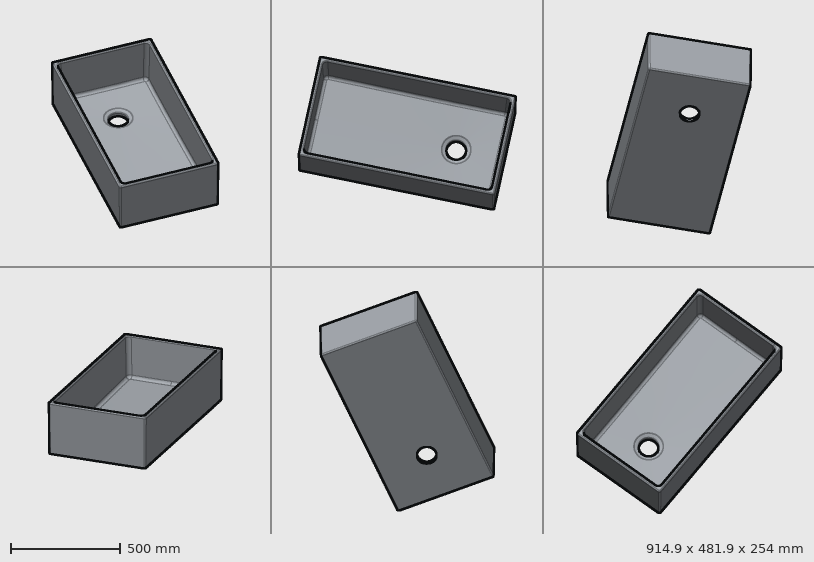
import cadquery as cq
import math

LENGTH = 915.0
WIDTH = 482.0
HEIGHT = 254.0
OUTER_DRAFT = 0.5
OUTER_CORNER_RADIUS = 8.0
OUTER_EDGE_RADIUS = 6.0

BASIN_DRAFT = 2.0
RIM_WIDTH = 13.0
RIM_RADIUS = 6.0
BASIN_CORNER_RADIUS = 20.0
FLOOR_EDGE_RADIUS = 16.0

DRAIN_X = -229.0
FLOOR_SLOPE = 1.8
FLOOR_APEX_Z = 28.0

SEAT_DIAMETER = 134.0
SEAT_SLOPE = 20.0
SEAT_EDGE_RADIUS = 8.0
HOLE_DIAMETER = 90.0
HOLE_EDGE_RADIUS = 5.5

PICK_SLACK = 1.0


def rise(run, slope):
    """Height gained over a horizontal run at a slope in degrees."""
    return run * math.tan(math.radians(slope))


def drafted_block(length, width, draft, corner_radius):
    """Block hanging down from the rim plane, narrowing downwards, with rounded upright edges."""
    block = (
        cq.Workplane("XY", origin=(0, 0, HEIGHT))
        .rect(length, width)
        .extrude(-HEIGHT, taper=draft)
    )
    return block.edges("not(|X or |Y)").fillet(corner_radius)


def make_body():
    body = drafted_block(LENGTH, WIDTH, OUTER_DRAFT, OUTER_CORNER_RADIUS)
    return body.faces("<Z or >Z").edges().fillet(OUTER_EDGE_RADIUS)


def make_space_above_floor():
    """Everything above the conical floor, centred on the drain."""
    reach = LENGTH
    return (
        cq.Workplane("XZ", origin=(DRAIN_X, 0, 0))
        .moveTo(0, FLOOR_APEX_Z)
        .lineTo(reach, FLOOR_APEX_Z + rise(reach, FLOOR_SLOPE))
        .lineTo(reach, HEIGHT)
        .lineTo(0, HEIGHT)
        .close()
        .revolve(360, (0, 0), (0, 1))
    )


def make_basin():
    pocket_inset = RIM_WIDTH + RIM_RADIUS
    pocket = drafted_block(
        LENGTH - 2 * pocket_inset, WIDTH - 2 * pocket_inset, BASIN_DRAFT, BASIN_CORNER_RADIUS
    )
    pocket = pocket.intersect(make_space_above_floor())
    return pocket.faces("<Z").edges().fillet(FLOOR_EDGE_RADIUS)


def round_rim(sink):
    """Round the inner edge of the flat rim."""
    inner_loop = sink.faces(">Z").val().innerWires()[0]
    return sink.newObject(inner_loop.Edges()).fillet(RIM_RADIUS)


def round_circle(sink, circle_radius, z, edge_radius):
    """Round the circular edge of the drain that has the given radius and height."""
    reach = circle_radius + PICK_SLACK
    around_circle = cq.selectors.BoxSelector(
        (DRAIN_X - reach, -reach, z - PICK_SLACK),
        (DRAIN_X + reach, reach, z + PICK_SLACK),
        boundingbox=True,
    )
    return sink.edges(around_circle).edges("%CIRCLE").fillet(edge_radius)


def cut_drain(sink):
    seat_radius = SEAT_DIAMETER / 2
    hole_radius = HOLE_DIAMETER / 2
    seat_top_z = FLOOR_APEX_Z + rise(seat_radius, FLOOR_SLOPE)
    seat_bottom_z = seat_top_z - rise(seat_radius - hole_radius, SEAT_SLOPE)
    drain = (
        cq.Workplane("XZ", origin=(DRAIN_X, 0, 0))
        .lineTo(hole_radius, 0)
        .lineTo(hole_radius, seat_bottom_z)
        .lineTo(seat_radius, seat_top_z)
        .lineTo(0, seat_top_z)
        .close()
        .revolve(360, (0, 0), (0, 1))
    )
    sink = sink.cut(drain)
    sink = round_circle(sink, seat_radius, seat_top_z, SEAT_EDGE_RADIUS)
    return round_circle(sink, hole_radius, seat_bottom_z, HOLE_EDGE_RADIUS)


sink = make_body().cut(make_basin())
sink = round_rim(sink)
result = cut_drain(sink)